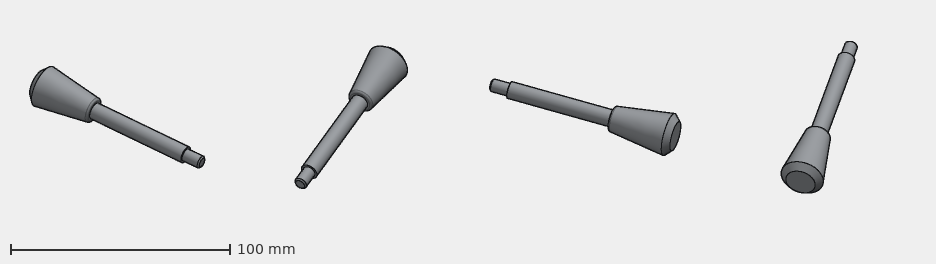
import cadquery as cq

total_length = 90.0
knob_length = 31.0
pin_length = 9.0
shoulder_x = total_length - pin_length

knob_diameter = 20.0
knob_neck_diameter = 12.0
rod_diameter = 8.0
pin_diameter = 6.0

knob_chamfer = 3.1
knob_fillet = 1.2
pin_chamfer = 0.7

knob_radius = knob_diameter / 2
neck_radius = knob_neck_diameter / 2
rod_radius = rod_diameter / 2
pin_radius = pin_diameter / 2


def make_knob():
    """Tapered grip, chamfered at its wide end and rounded at the rod end."""
    knob = (
        cq.Workplane("XY")
        .moveTo(0, 0)
        .lineTo(0, knob_radius - knob_chamfer)
        .lineTo(knob_chamfer, knob_radius)
        .lineTo(knob_length, neck_radius)
        .lineTo(knob_length, 0)
        .close()
        .revolve(360, (0, 0, 0), (1, 0, 0))
    )
    return knob.faces(">X").edges().fillet(knob_fillet)


def make_rod():
    """Straight rod leaving the narrow end of the knob."""
    return (
        cq.Workplane("YZ", origin=(knob_length, 0, 0))
        .circle(rod_radius)
        .extrude(shoulder_x - knob_length)
    )


def make_pin():
    """Reduced end pin with a chamfered tip."""
    pin = (
        cq.Workplane("YZ", origin=(shoulder_x, 0, 0))
        .circle(pin_radius)
        .extrude(pin_length)
    )
    return pin.faces(">X").edges().chamfer(pin_chamfer)


result = make_knob().union(make_rod()).union(make_pin())